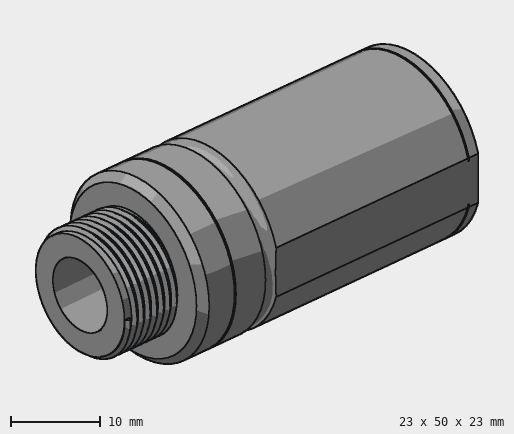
import cadquery as cq

length = 50.0
body_radius = 23.0 / 2
seam_floor_radius = 22.8 / 2

stub_length = 8.0
thread_root_radius = 14.7 / 2
thread_crest_radius = 15.7 / 2
thread_pitch = 1.0
thread_base_width = 0.75
thread_turns = 8
thread_root_overlap = 0.1
bore_diameter = 9.0
bore_depth = 17.5

collar_end = 17.5
collar_chamfer = 1.0
neck_radius = 1.0
body_start = collar_end + 2 * neck_radius

collar_seam_start = 12.9
cap_seam_start = 48.5
collar_seam_width = 0.15
cap_seam_width = 0.1

flat_x = 11.05


def make_turned_body():
    """Revolve the half outline (radius, axial position) about the Y axis."""
    outline = (
        cq.Workplane("XY")
        .moveTo(0, stub_length)
        .lineTo(body_radius - collar_chamfer, stub_length)
        .lineTo(body_radius, stub_length + collar_chamfer)
        .lineTo(body_radius, collar_end)
        .threePointArc((body_radius - neck_radius, collar_end + neck_radius), (body_radius, body_start))
        .lineTo(body_radius, length)
        .lineTo(0, length)
        .close()
    )
    return outline.revolve(360, (0, 0, 0), (0, 1, 0))


def make_seam(start, width):
    """Ring that cuts a shallow seam down to the seam floor."""
    ring = cq.Workplane("XZ", origin=(0, start, 0)).circle(2 * body_radius)
    return ring.circle(seam_floor_radius).extrude(-width)


def make_thread():
    """Right-handed triangular ridge, built along Z and laid onto the Y axis."""
    half_width = thread_base_width / 2
    flank_slope = half_width / (thread_crest_radius - thread_root_radius)
    inner_radius = thread_root_radius - thread_root_overlap
    inner_half_width = half_width + flank_slope * thread_root_overlap
    path = cq.Wire.makeHelix(thread_pitch, thread_pitch * thread_turns, thread_root_radius)
    ridge = (
        cq.Workplane("XZ")
        .moveTo(inner_radius, -inner_half_width)
        .lineTo(thread_crest_radius, 0)
        .lineTo(inner_radius, inner_half_width)
        .close()
        .sweep(cq.Workplane(path), isFrenet=True)
    )
    return ridge.translate((0, 0, inner_half_width)).rotate((0, 0, 0), (1, 0, 0), -90)


def make_threaded_stub():
    """Threaded stub, with the last turn of the thread running out inside the collar."""
    buried_length = stub_length + thread_pitch
    stub = cq.Workplane("XZ").circle(thread_root_radius).extrude(-buried_length)
    return stub.union(make_thread())


def make_side_flat():
    """Block that removes the +X sliver of the body behind the neck groove."""
    flat_start = collar_end + neck_radius
    return cq.Workplane("XY").box(
        body_radius, length - flat_start, 2 * body_radius, centered=(False, False, True)
    ).translate((flat_x, flat_start, 0))


result = make_turned_body().cut(make_side_flat())
result = result.cut(make_seam(collar_seam_start, collar_seam_width))
result = result.cut(make_seam(cap_seam_start, cap_seam_width))
result = result.union(make_threaded_stub())
bore = cq.Workplane("XZ").circle(bore_diameter / 2).extrude(-bore_depth)
result = result.cut(bore)